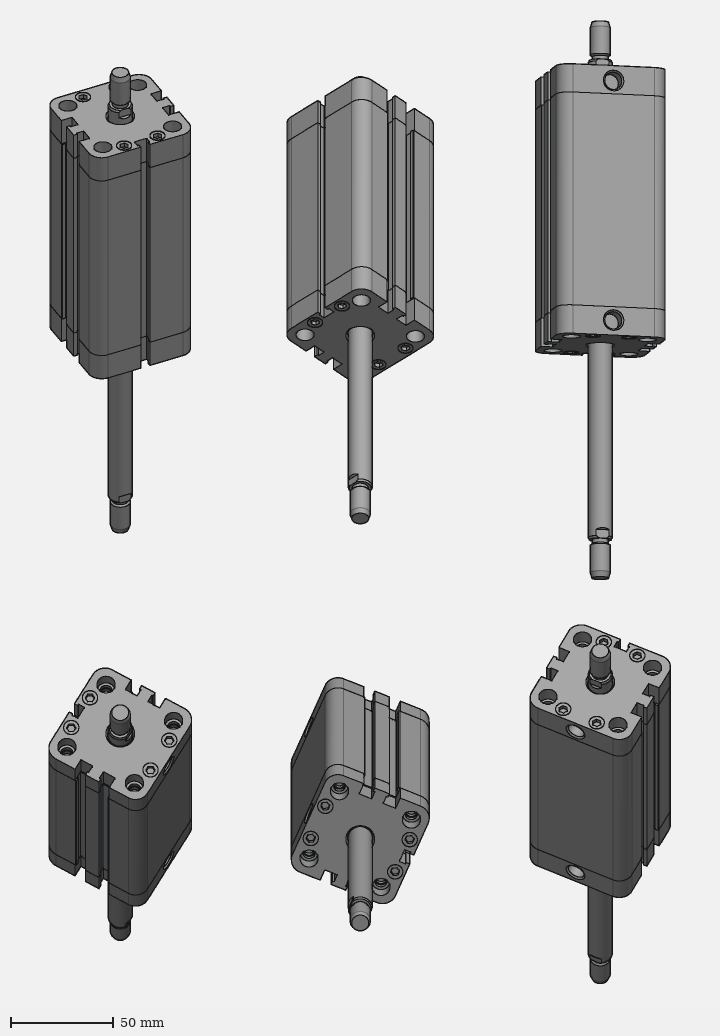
import cadquery as cq
import math


width = 54.8
corner_radius = 7.0
cap_height = 14.0
body_height = 134.3
barrel_height = body_height - 2 * cap_height
body_middle = body_height / 2
outer_face = width / 2

slot_offset = 6.5
slot_opening = 5.0
slot_inner_width = 6.6
slot_lip = 2.0
slot_depth = 5.3
cap_slot_depth = 5.8
lip_chamfer_width = 0.5
lip_chamfer_depth = 0.3

bore_diameter = 40.0
cap_end_wall = 2.8

total_length = 277.0
rod_diameter = 12.0
rod_above_body = 26.5
rod_below_body = total_length - body_height - rod_above_body
rod_end_length = 19.0
thread_diameter = 10.0
tip_diameter = 8.3
tip_taper_length = 2.8
relief_diameter = 8.0
relief_length = 2.0
relief_taper_length = 0.8
shoulder_chamfer_length = 1.0
shoulder_chamfer_depth = 0.5
across_flats = 10.0
flat_length = 4.2
flat_runout_length = 0.8

rod_mouth_diameter = 14.0
rod_mouth_floor_diameter = 12.5
rod_mouth_depth = 1.7
screw_spacing = 38.2
screw_head_diameter = 9.0
screw_head_depth = 8.3
screw_hole_diameter = 6.0
screw_hole_depth = 11.0
screw_core_diameter = 5.0
valve_spacing_x = 45.0
valve_spacing_y = 18.3
valve_diameter = 7.5
valve_recess_depth = 0.3
valve_socket_across_flats = 4.0
valve_socket_depth = 2.5
port_diameter = 8.5
port_mouth_diameter = 10.2
port_mouth_depth = 0.8
port_height = 7.5


def block(height):
    """Square block with rounded vertical edges, standing on Z = 0."""
    return cq.Workplane("XY").rect(width, width).extrude(height).edges("|Z").fillet(corner_radius)


def cylinder(diameter, bottom, top):
    return cq.Workplane("XY", origin=(0, 0, bottom)).circle(diameter / 2).extrude(top - bottom)


def cone(bottom_diameter, top_diameter, height):
    """Truncated cone on the Z axis, standing on Z = 0."""
    return (
        cq.Workplane("XY")
        .circle(bottom_diameter / 2)
        .workplane(offset=height)
        .circle(top_diameter / 2)
        .loft()
    )


def plain_t_slot(height):
    """Symmetric T-slot cutter centred on X = 0."""
    opening = cq.Workplane("XY").rect(slot_opening, 2 * slot_depth).extrude(height)
    inner_depth = slot_depth - slot_lip
    inner = (
        cq.Workplane("XY")
        .center(0, slot_lip + inner_depth / 2)
        .rect(slot_inner_width, inner_depth)
        .extrude(height)
    )
    return opening.union(inner).translate((0, -outer_face, 0))


def barrel_slot(height):
    """T-slot cutter with a chamfer on the edge of its +X lip."""
    chamfer = (
        cq.Workplane("XY")
        .moveTo(slot_opening / 2, -outer_face)
        .lineTo(slot_opening / 2 + lip_chamfer_width, -outer_face)
        .lineTo(slot_opening / 2, -outer_face + lip_chamfer_depth)
        .close()
        .extrude(height)
    )
    return plain_t_slot(height).union(chamfer)


def cap_slot(height):
    """Slot cutter with a lip on its -X side and a straight wall on its +X side."""
    lip_edge = -slot_opening / 2
    wall = slot_inner_width / 2
    return (
        cq.Workplane("XY")
        .moveTo(lip_edge, -outer_face)
        .lineTo(lip_edge, -outer_face + slot_lip)
        .lineTo(-wall, -outer_face + slot_lip)
        .lineTo(-wall, -outer_face + cap_slot_depth)
        .lineTo(wall, -outer_face + cap_slot_depth)
        .lineTo(wall, -outer_face)
        .close()
        .extrude(height)
    )


def cut_slots(body, paired_slot, height):
    """Cut two slots in each Y face and one plain slot in the +X face."""
    right_slot = paired_slot.translate((slot_offset, 0, 0))
    left_slot = right_slot.mirror("YZ")
    for slot in (right_slot, left_slot):
        body = body.cut(slot).cut(slot.mirror("XZ"))
    return body.cut(plain_t_slot(height).rotate((0, 0, 0), (0, 0, 1), 90))


def make_barrel():
    barrel = cut_slots(block(barrel_height), barrel_slot(barrel_height), barrel_height)
    barrel = barrel.cut(cylinder(bore_diameter, 0, barrel_height))
    return barrel.translate((0, 0, cap_height))


def corner_points(spacing_x, spacing_y):
    """Workplane on the outer face with a point at each corner of a rectangle."""
    outer_plane = cq.Workplane("XY", origin=(0, 0, cap_height))
    return outer_plane.rect(spacing_x, spacing_y, forConstruction=True).vertices()


def cut_screw_holes(cap):
    """Cut four counterbored screw holes that narrow to a thread core."""
    steps = [
        (screw_head_diameter, screw_head_depth),
        (screw_hole_diameter, screw_hole_depth),
        (screw_core_diameter, cap_height),
    ]
    for diameter, depth in steps:
        holes = corner_points(screw_spacing, screw_spacing).circle(diameter / 2).extrude(-depth)
        cap = cap.cut(holes)
    return cap


def cut_valves(cap):
    """Cut four shallow round recesses, each with a hexagon socket that has corners at +Y and -Y."""
    recesses = corner_points(valve_spacing_x, valve_spacing_y).circle(valve_diameter / 2)
    cap = cap.cut(recesses.extrude(-valve_recess_depth))
    socket_radius = valve_socket_across_flats / math.sqrt(3)
    corners = []
    for index in range(6):
        angle = math.radians(90 + 60 * index)
        corners.append((socket_radius * math.cos(angle), socket_radius * math.sin(angle)))
    hexagon = cq.Workplane("XY").polyline(corners).close().extrude(-valve_socket_depth).val()
    sockets = corner_points(valve_spacing_x, valve_spacing_y).eachpoint(hexagon, combine=False)
    return cap.cut(cq.Workplane(cq.Compound.makeCompound(sockets.vals())))


def port_cutter():
    """Air port that runs from the -X face in to the bore, with a chamfered mouth."""
    port = cylinder(port_diameter, 0, outer_face)
    mouth = cone(port_mouth_diameter, port_diameter, port_mouth_depth)
    along_x = port.union(mouth).rotate((0, 0, 0), (0, 1, 0), 90)
    return along_x.translate((-outer_face, 0, cap_height - port_height))


def make_cap():
    cap = cut_slots(block(cap_height), cap_slot(cap_height), cap_height)
    cap = cap.cut(cylinder(bore_diameter, 0, cap_height - cap_end_wall))
    cap = cap.cut(cylinder(rod_diameter, 0, cap_height))
    rod_mouth = cone(rod_mouth_floor_diameter, rod_mouth_diameter, rod_mouth_depth)
    cap = cap.cut(rod_mouth.translate((0, 0, cap_height - rod_mouth_depth)))
    cap = cut_screw_holes(cap)
    cap = cut_valves(cap)
    return cap.cut(port_cutter())


def make_core():
    """Cylinder that fills the bore between the end walls of the caps, around the rod."""
    core = cylinder(bore_diameter, cap_end_wall, body_height - cap_end_wall)
    return core.cut(cylinder(rod_diameter, 0, body_height))


def half_rod(length):
    """Half of the rod, from Z = 0 up to its threaded tip at Z = length."""
    shoulder = length - rod_end_length
    relief_end = shoulder + relief_length
    rod_radius = rod_diameter / 2
    turned = (
        cq.Workplane("XZ")
        .lineTo(rod_radius, 0)
        .lineTo(rod_radius, shoulder - shoulder_chamfer_length)
        .lineTo(rod_radius - shoulder_chamfer_depth, shoulder)
        .lineTo(relief_diameter / 2, shoulder)
        .lineTo(relief_diameter / 2, relief_end)
        .lineTo(thread_diameter / 2, relief_end + relief_taper_length)
        .lineTo(thread_diameter / 2, length - tip_taper_length)
        .lineTo(tip_diameter / 2, length)
        .lineTo(0, length)
        .close()
        .revolve(360, (0, 0, 0), (0, 1, 0))
    )
    flat_end = shoulder - flat_length
    flat = (
        cq.Workplane("XZ")
        .moveTo(across_flats / 2, shoulder)
        .lineTo(rod_radius, shoulder)
        .lineTo(rod_radius, flat_end - flat_runout_length)
        .lineTo(across_flats / 2, flat_end)
        .close()
        .extrude(rod_radius, both=True)
    )
    return turned.cut(flat).cut(flat.mirror("YZ"))


def make_rod():
    upper_half = half_rod(body_middle + rod_above_body)
    lower_half = half_rod(body_middle + rod_below_body).mirror("XY")
    return upper_half.union(lower_half).translate((0, 0, body_middle))


barrel = make_barrel()
upper_cap = make_cap().translate((0, 0, body_height - cap_height))
lower_cap = make_cap().mirror("XY").translate((0, 0, cap_height))
core = make_core()
rod = make_rod()

result = cq.Compound.makeCompound(
    [barrel.val(), upper_cap.val(), lower_cap.val(), core.val(), rod.val()]
)